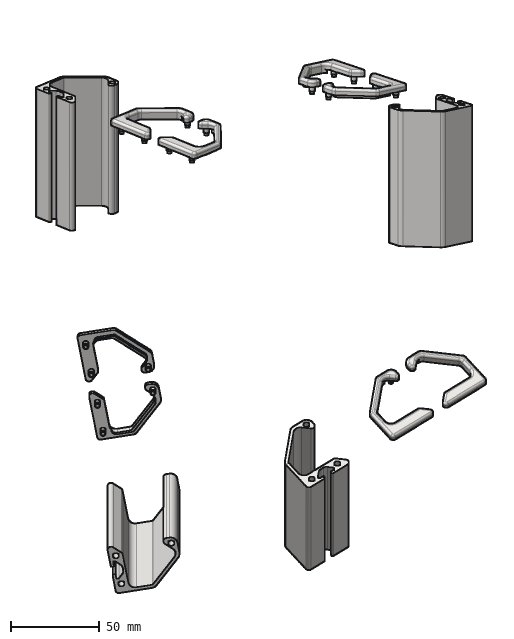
import cadquery as cq
import math

overall_width = 127.6
overall_height = 80.0
profile_width = 30.0
profile_depth = 40.0
left_cap_x = 60.0

rail_wall = 2.0
cap_wall = 4.0
flange_height = 8.0
rail_slope_start = 22.3
cap_slope_start = 21.8
hook_line_sum = 59.3
bend_radius = 4.0
tip_radius = 2.0
cap_hook_radius = 3.6
cap_wall_radius = 2.8
rail_wall_radius = 0.6

slot_center_x = 14.8
slot_opening = 5.0
slot_lip = 1.8
slot_mouth_radius = 0.6
slot_top = 6.5
slot_top_width = 4.3
slot_top_radius = 3.0
slot_side_radius = 0.9

pin_places = [(5.7, 4.1), (23.9, 4.1), (26.3, 36.5)]
hole_diameter = 3.5
pin_diameter = 3.3
pin_tip_diameter = 2.5
pin_length = 4.7
pin_tip_length = 1.5

cap_thickness = 4.0
cap_edge_radius = 1.5
rib_height = 2.0
rib_gap = 0.8


def rounded_outline(corners):
    """Closed wire through (x, y, radius) corners, each rounded by a tangent arc."""
    stretches = []
    for i, (x, y, radius) in enumerate(corners):
        corner = cq.Vector(x, y)
        before = (cq.Vector(*corners[i - 1][:2]) - corner).normalized()
        after = (cq.Vector(*corners[(i + 1) % len(corners)][:2]) - corner).normalized()
        half_angle = before.getAngle(after) / 2
        reach = radius / math.tan(half_angle)
        depth = radius / math.sin(half_angle) - radius
        middle = corner + (before + after).normalized() * depth
        stretches.append((corner + before * reach, middle, corner + after * reach))

    edges = []
    for i, (start, middle, end) in enumerate(stretches):
        edges.append(cq.Edge.makeLine(stretches[i - 1][2], start))
        edges.append(cq.Edge.makeThreePointArc(start, middle, end))
    return cq.Wire.assembleEdges(edges)


def prism(corners, bottom, height):
    """Upright prism on a rounded outline."""
    wire = rounded_outline(corners)
    return cq.Workplane("XY").add(wire).toPending().extrude(height).translate((0, 0, bottom))


def c_corners(wall, slope_start, slope_radius, inner_wall_radius, inner_hook_radius, gap=0.0):
    """Corners of a C outline, with its inner side moved inwards by a gap."""
    inner_x = wall + gap
    inner_y = flange_height + gap
    inner_slope = slope_start - inner_x * math.sqrt(2)
    inner_sum = hook_line_sum - gap * math.sqrt(2)
    tip_sum = profile_width + tip_radius * math.sqrt(2)
    return [
        (0, 0, tip_radius),
        (tip_sum, 0, tip_radius),
        (tip_sum - inner_y, inner_y, tip_radius),
        (inner_x, inner_y, bend_radius - gap),
        (inner_x, inner_x + inner_slope, inner_wall_radius),
        ((inner_sum - inner_slope) / 2, (inner_sum + inner_slope) / 2, inner_hook_radius - gap),
        (profile_width, inner_sum - profile_width, tip_radius),
        (profile_width, profile_depth, bend_radius),
        (profile_depth - slope_start, profile_depth, slope_radius),
        (0, slope_start, slope_radius),
    ]


def rail_corners(gap=0.0):
    return c_corners(rail_wall, rail_slope_start, bend_radius, rail_wall_radius, bend_radius, gap)


def cap_corners():
    return c_corners(cap_wall, cap_slope_start, cap_wall_radius, cap_wall_radius, cap_hook_radius)


def make_slot():
    """T-slot: a straight opening below a channel with 45-degree sides."""
    half_top = slot_top_width / 2
    half_base = half_top + slot_top - slot_lip
    channel = prism(
        [
            (slot_center_x - half_base, slot_lip, slot_side_radius),
            (slot_center_x + half_base, slot_lip, slot_side_radius),
            (slot_center_x + half_top, slot_top, slot_top_radius),
            (slot_center_x - half_top, slot_top, slot_top_radius),
        ],
        0,
        overall_height,
    )
    opening = (
        cq.Workplane("XY")
        .center(slot_center_x, slot_top / 4)
        .rect(slot_opening, slot_top / 2)
        .extrude(overall_height)
    )
    return channel.union(opening)


def make_rail():
    holes = cq.Workplane("XY").pushPoints(pin_places).circle(hole_diameter / 2).extrude(overall_height)
    rail = prism(rail_corners(), 0, overall_height)
    rail = rail.cut(make_slot()).cut(holes)
    mouth_edges = cq.selectors.BoxSelector(
        (slot_center_x - slot_opening, -slot_lip / 2, 0),
        (slot_center_x + slot_opening, slot_lip / 2, overall_height),
    )
    return rail.edges("|Z").edges(mouth_edges).fillet(slot_mouth_radius)


def make_pins(plate_bottom):
    """Stepped pins hanging from the underside of a cap plate."""
    shafts = (
        cq.Workplane("XY", origin=(0, 0, plate_bottom))
        .pushPoints(pin_places)
        .circle(pin_diameter / 2)
        .extrude(pin_tip_length - pin_length)
    )
    tips = (
        cq.Workplane("XY", origin=(0, 0, plate_bottom))
        .pushPoints(pin_places)
        .circle(pin_tip_diameter / 2)
        .extrude(-pin_length)
    )
    return shafts.union(tips)


def make_rib(plate_bottom):
    """Rib under the part of the cap wall that stands inside the rail, clear of it by a gap."""
    rib_bottom = plate_bottom - rib_height
    rib = prism(cap_corners(), rib_bottom, rib_height)
    rail_space = prism(rail_corners(rib_gap), rib_bottom, rib_height)
    return rib.cut(rail_space)


def make_cap():
    plate_bottom = overall_height - cap_thickness
    plate = prism(cap_corners(), plate_bottom, cap_thickness)
    plate = plate.faces(">Z").edges().fillet(cap_edge_radius)
    return plate.union(make_rib(plate_bottom)).union(make_pins(plate_bottom))


rail = make_rail()
left_cap = make_cap().translate((left_cap_x, 0, 0))
right_cap = make_cap().mirror("YZ").translate((overall_width, 0, 0))

result = cq.Compound.makeCompound([rail.val(), left_cap.val(), right_cap.val()])